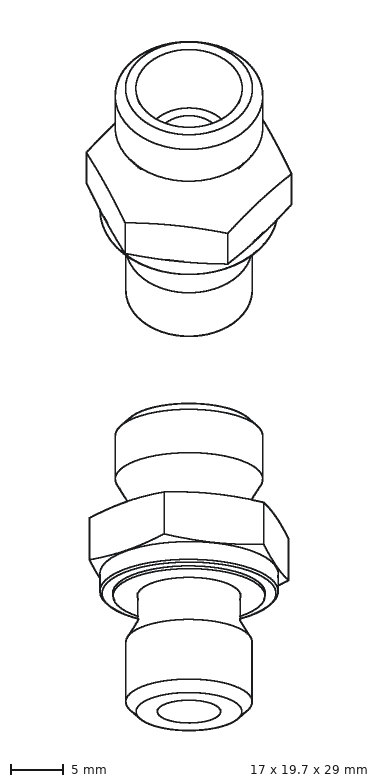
import cadquery as cq
import math

total_length = 29.0
hex_top = 19.0
hex_height = 5.0
hex_bottom = hex_top - hex_height
collar_bottom = 12.0

hex_across_flats = 17.02
hex_across_corners = hex_across_flats / math.cos(math.radians(30))
hex_bevel_angle = 15.0
collar_diameter = 16.9
collar_edge_chamfer = 0.2

end_chamfer = 1.0
runout_angle = 30.0
runout_blend_radius = 1.0
upper_thread_diameter = 14.0
upper_thread_bottom = 23.6
upper_neck_diameter = 11.7
upper_neck_fillet = 1.0
lower_thread_diameter = 12.0
lower_thread_top = 7.05
lower_neck_diameter = 9.7

through_diameter = 6.0
socket_diameter = 8.0
seat_mouth_diameter = 10.1
seat_half_angle = 12.0
seat_depth = (seat_mouth_diameter - socket_diameter) / 2 / math.tan(math.radians(seat_half_angle))
socket_depth = 7.0

seal_outer_diameter = 14.4
seal_inner_diameter = 9.8
seal_thickness = 1.5
seal_protrusion = 0.25
groove_outer_diameter = 14.5
groove_depth = seal_thickness - seal_protrusion


def cylinder(diameter, bottom, top):
    return cq.Workplane("XY").workplane(offset=bottom).circle(diameter / 2).extrude(top - bottom)


def tube(outer_diameter, inner_diameter, bottom, top):
    return cylinder(outer_diameter, bottom, top).cut(cylinder(inner_diameter, bottom, top))


def make_end(thread_diameter, neck_diameter, thread_length, length):
    """Threaded end with its tip at Z = 0, leading up through the runout into the neck."""
    thread_radius = thread_diameter / 2
    neck_radius = neck_diameter / 2
    angle = math.radians(runout_angle)
    runout_corner = thread_length + (thread_radius - neck_radius) / math.tan(angle)

    tangent_length = runout_blend_radius * math.tan(angle / 2)
    cone_tangent = (
        neck_radius + tangent_length * math.sin(angle),
        runout_corner - tangent_length * math.cos(angle),
    )
    neck_tangent = (neck_radius, runout_corner + tangent_length)
    arc_middle = (
        neck_radius + runout_blend_radius * (1 - math.cos(angle / 2)),
        neck_tangent[1] - runout_blend_radius * math.sin(angle / 2),
    )
    return (
        cq.Workplane("XZ")
        .lineTo(thread_radius - end_chamfer, 0)
        .lineTo(thread_radius, end_chamfer)
        .lineTo(thread_radius, thread_length)
        .lineTo(*cone_tangent)
        .threePointArc(arc_middle, neck_tangent)
        .lineTo(neck_radius, length)
        .lineTo(0, length)
        .close()
        .revolve(360, (0, 0, 0), (0, 1, 0))
    )


def make_hexagon():
    """Hexagon with corners on the Y axis, bevelled conically at both faces."""
    prism = (
        cq.Workplane("XY")
        .workplane(offset=hex_bottom)
        .polygon(6, hex_across_corners)
        .extrude(hex_height)
        .rotate((0, 0, 0), (0, 0, 1), 30)
    )
    face_radius = collar_diameter / 2
    corner_radius = hex_across_corners / 2
    bevel_drop = (corner_radius - face_radius) * math.tan(math.radians(hex_bevel_angle))
    envelope = (
        cq.Workplane("XZ")
        .moveTo(0, hex_bottom)
        .lineTo(face_radius, hex_bottom)
        .lineTo(corner_radius, hex_bottom + bevel_drop)
        .lineTo(corner_radius, hex_top - bevel_drop)
        .lineTo(face_radius, hex_top)
        .lineTo(0, hex_top)
        .close()
        .revolve(360, (0, 0, 0), (0, 1, 0))
    )
    return prism.intersect(envelope)


def make_neck_fillet():
    """Concave flare from the upper neck onto the top of the hexagon."""
    neck_radius = upper_neck_diameter / 2
    flare_radius = neck_radius + upper_neck_fillet
    arc_inset = upper_neck_fillet * (1 - math.sqrt(0.5))
    return (
        cq.Workplane("XZ")
        .moveTo(0, hex_top)
        .lineTo(flare_radius, hex_top)
        .threePointArc(
            (neck_radius + arc_inset, hex_top + arc_inset),
            (neck_radius, hex_top + upper_neck_fillet),
        )
        .lineTo(0, hex_top + upper_neck_fillet)
        .close()
        .revolve(360, (0, 0, 0), (0, 1, 0))
    )


def make_bore():
    seat_bottom = total_length - seat_depth
    seat = (
        cq.Workplane("XY")
        .workplane(offset=seat_bottom)
        .circle(socket_diameter / 2)
        .workplane(offset=seat_depth)
        .circle(seat_mouth_diameter / 2)
        .loft()
    )
    socket = cylinder(socket_diameter, total_length - socket_depth, seat_bottom)
    through_hole = cylinder(through_diameter, 0, total_length)
    return through_hole.union(socket).union(seat)


def make_fitting():
    lower_end = make_end(lower_thread_diameter, lower_neck_diameter, lower_thread_top, hex_bottom)
    upper_end = (
        make_end(
            upper_thread_diameter,
            upper_neck_diameter,
            total_length - upper_thread_bottom,
            total_length - hex_top,
        )
        .rotate((0, 0, 0), (1, 0, 0), 180)
        .translate((0, 0, total_length))
    )
    collar = cylinder(collar_diameter, collar_bottom, hex_bottom)
    collar = collar.faces("<Z").edges().chamfer(collar_edge_chamfer)
    groove = tube(groove_outer_diameter, lower_neck_diameter, collar_bottom, collar_bottom + groove_depth)
    body = make_hexagon().union(collar.cut(groove)).union(lower_end).union(upper_end)
    return body.union(make_neck_fillet()).cut(make_bore())


def make_seal():
    seal_bottom = collar_bottom - seal_protrusion
    return tube(seal_outer_diameter, seal_inner_diameter, seal_bottom, seal_bottom + seal_thickness)


fitting = make_fitting()
seal = make_seal()

result = cq.Compound.makeCompound([fitting.val(), seal.val()])